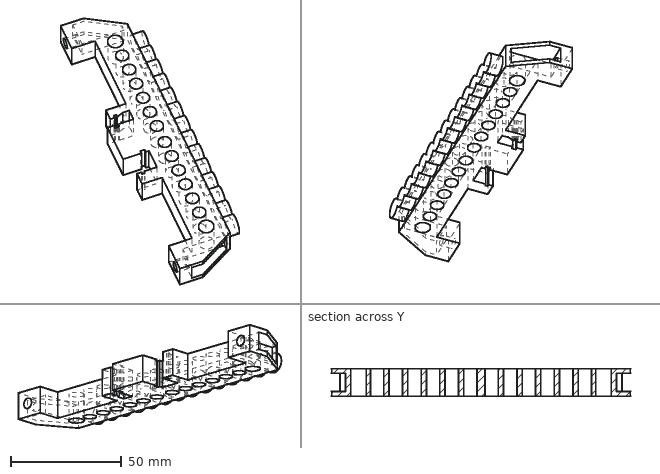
import cadquery as cq


length = 146.0
thickness = 12.5
body_top = 30.0
shoulder_y = 12.5
slope_run = 10.2
beam_bottom = 12.7
leg_bottom = 1.3
leg_width = 13.7

block_left = -12.3
block_right = 6.7
block_notch_depth = 1.3
block_notch_height = 2.0
left_notch_bottom = 3.2
right_notch_bottom = 9.0

hook_bottom = 2.9
left_hook_outer = -21.6
left_hook_neck = -17.5
left_hook_tip = -16.2
left_hook_slope_top = 9.6
right_hook_inner = 16.5
right_hook_outer = 22.8
hook_groove_bottom = 5.1
hook_groove_height = 1.3
right_groove_depth = 1.0

wire_hole_y = 21.2
small_hole_diameter = 6.0
large_hole_diameter = 7.0
hole_pitch = 8.5
holes_per_side = 7
first_hole_x = 4.8

screw_count = 14
screw_pitch = 8.5
screw_diameter = 9.3
overall_height = 35.8

mount_hole_diameter = 4.8
mount_hole_inset = 5.8

pocket_wall = 2.2
pocket_floor = 7.2
pocket_depth = 11.4

half_length = length / 2
mid_z = thickness / 2


def box(left, right, bottom, top, z_low=0.0, z_high=thickness):
    """Block between the given X, Y and Z limits."""
    size = (right - left, top - bottom, z_high - z_low)
    return cq.Workplane("XY").box(*size, centered=False).translate((left, bottom, z_low))


def make_body():
    """Beam with sloped ends standing on two legs."""
    inner_leg = half_length - leg_width
    right_side = [
        (inner_leg, beam_bottom),
        (inner_leg, leg_bottom),
        (half_length, leg_bottom),
        (half_length, shoulder_y),
        (half_length - slope_run, body_top),
    ]
    left_side = [(-x, y) for x, y in reversed(right_side)]
    return cq.Workplane("XY").polyline(right_side + left_side).close().extrude(thickness)


def make_rail_block():
    """Central block with one small notch in each side."""
    block = box(block_left, block_right, 0, beam_bottom)
    left_notch = box(
        block_left, block_left + block_notch_depth,
        left_notch_bottom, left_notch_bottom + block_notch_height,
    )
    right_notch = box(
        block_right - block_notch_depth, block_right,
        right_notch_bottom, right_notch_bottom + block_notch_height,
    )
    return block.cut(left_notch).cut(right_notch)


def make_left_hook():
    """Hook with a sloped catch above a groove."""
    groove_top = hook_groove_bottom + hook_groove_height
    outline = [
        (left_hook_outer, beam_bottom),
        (left_hook_outer, hook_bottom),
        (left_hook_tip, hook_bottom),
        (left_hook_tip, hook_groove_bottom),
        (left_hook_neck, hook_groove_bottom),
        (left_hook_neck, groove_top),
        (left_hook_tip, groove_top),
        (left_hook_neck, left_hook_slope_top),
        (left_hook_neck, beam_bottom),
    ]
    return cq.Workplane("XY").polyline(outline).close().extrude(thickness)


def make_right_hook():
    """Straight hook with a groove on its inner side."""
    hook = box(right_hook_inner, right_hook_outer, hook_bottom, beam_bottom)
    groove = box(
        right_hook_inner, right_hook_inner + right_groove_depth,
        hook_groove_bottom, hook_groove_bottom + hook_groove_height,
    )
    return hook.cut(groove)


def cylinder_along_y(x, bottom, top, diameter):
    """Cylinder at mid-thickness with its axis along Y."""
    return cq.Workplane("XZ", origin=(x, bottom, mid_z)).circle(diameter / 2).extrude(bottom - top)


def make_wire_holes():
    """Two mirrored rows of through holes; the outermost hole of each is larger."""
    cutters = cq.Workplane("XY")
    for index in range(holes_per_side):
        is_outermost = index == holes_per_side - 1
        diameter = large_hole_diameter if is_outermost else small_hole_diameter
        x = first_hole_x + index * hole_pitch
        centers = [(-x, wire_hole_y), (x, wire_hole_y)]
        cutters = cutters.add(cq.Workplane("XY").pushPoints(centers).circle(diameter / 2).extrude(thickness))
    return cutters.combine()


def make_end_pocket(side):
    """Pocket entering from one end; side is -1 for the left end and 1 for the right end."""
    mouth = side * half_length
    back = side * (half_length - pocket_depth)
    return box(
        min(mouth, back), max(mouth, back),
        pocket_floor, body_top - pocket_wall,
        pocket_wall, thickness - pocket_wall,
    )


result = make_body().union(make_rail_block()).union(make_left_hook()).union(make_right_hook())

for index in range(screw_count):
    screw_x = (index - (screw_count - 1) / 2) * screw_pitch
    result = result.union(cylinder_along_y(screw_x, body_top, overall_height, screw_diameter))

result = result.cut(make_wire_holes())

for side in (-1, 1):
    mount_hole_x = side * (half_length - mount_hole_inset)
    result = result.cut(make_end_pocket(side))
    result = result.cut(cylinder_along_y(mount_hole_x, leg_bottom, body_top, mount_hole_diameter))